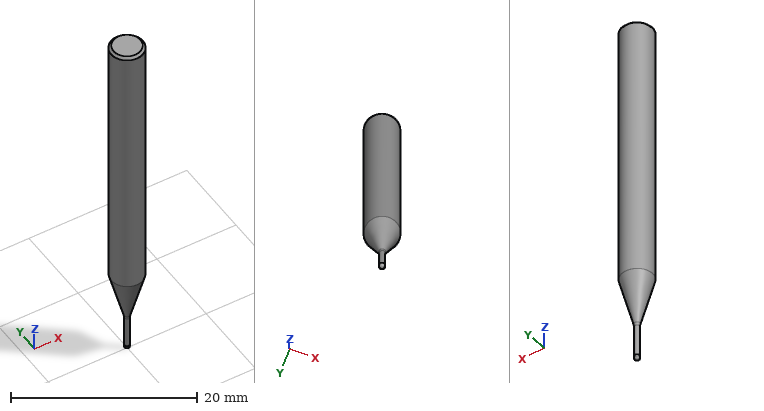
import cadquery as cq
import math

TOTAL_LENGTH = 45.0
SHANK_RADIUS = 4.0 / 2
SHANK_CHAMFER = 0.3
SHANK_BOTTOM = 11.02

BALL_RADIUS = 0.34
TIP_LENGTH = 0.55

NECK_RADIUS = BALL_RADIUS
NECK_TOP = 4.6
CONE_HALF_ANGLE = math.radians(14.9)
FLARE_RADIUS = (
    (SHANK_BOTTOM - NECK_TOP) - (SHANK_RADIUS - NECK_RADIUS) / math.tan(CONE_HALF_ANGLE)
) / math.tan(CONE_HALF_ANGLE / 2)


def flare_point(angle):
    """Point on the flare arc where its slope has turned by angle from the axis."""
    radius = NECK_RADIUS + FLARE_RADIUS * (1 - math.cos(angle))
    height = NECK_TOP + FLARE_RADIUS * math.sin(angle)
    return radius, height


def revolve_about_axis(profile):
    """Turn a closed radius-height profile about the Z axis."""
    return profile.close().revolve(360, (0, 0, 0), (0, 1, 0))


def make_tip():
    """Hemispherical nose below a short cylinder."""
    diagonal = BALL_RADIUS * math.sqrt(0.5)
    profile = (
        cq.Workplane("YZ")
        .threePointArc((diagonal, BALL_RADIUS - diagonal), (BALL_RADIUS, BALL_RADIUS))
        .lineTo(BALL_RADIUS, TIP_LENGTH)
        .lineTo(0, TIP_LENGTH)
    )
    return revolve_about_axis(profile)


def make_shank():
    """Neck, flare, cone and chamfered cylindrical shank."""
    profile = (
        cq.Workplane("YZ")
        .moveTo(0, TIP_LENGTH)
        .lineTo(NECK_RADIUS, TIP_LENGTH)
        .lineTo(NECK_RADIUS, NECK_TOP)
        .threePointArc(flare_point(CONE_HALF_ANGLE / 2), flare_point(CONE_HALF_ANGLE))
        .lineTo(SHANK_RADIUS, SHANK_BOTTOM)
        .lineTo(SHANK_RADIUS, TOTAL_LENGTH - SHANK_CHAMFER)
        .lineTo(SHANK_RADIUS - SHANK_CHAMFER, TOTAL_LENGTH)
        .lineTo(0, TOTAL_LENGTH)
    )
    return revolve_about_axis(profile)


tip = make_tip()
shank = make_shank()
result = cq.Compound.makeCompound([tip.val(), shank.val()])